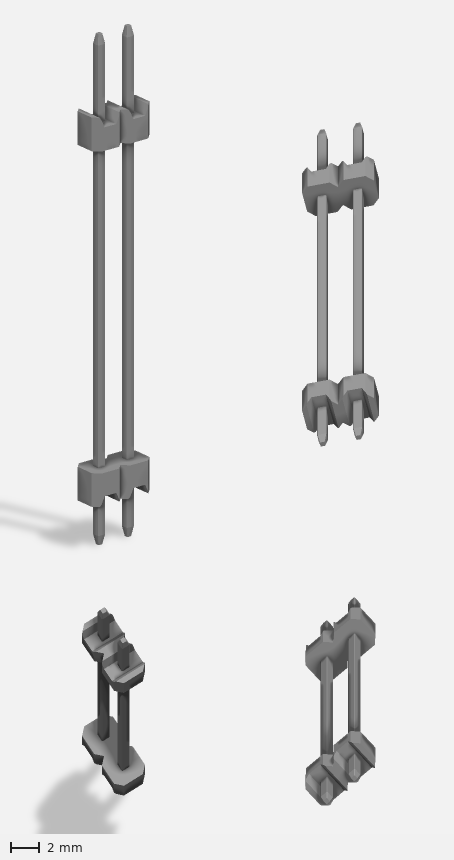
import cadquery as cq

PIN_LENGTH = 37.8
PIN_WIDTH = 0.65
PIN_EDGE_CHAMFER = 0.055
PIN_TIP_WIDTH = 0.35
PIN_TAPER_LENGTH = 0.75

PITCH = 2.55
PIN_COUNT = 2
BLOCK_HEIGHT = 2.5
BLOCK_CHAMFER = 0.5
GROOVE_DEPTH = 0.75
GROOVE_OPENING = 1.75
GROOVE_FLOOR = 1.02

BOTTOM_TAIL = 3.3
TOP_TAIL = 5.7

LOWER_BLOCK_BASE = BOTTOM_TAIL
UPPER_BLOCK_TOP = PIN_LENGTH - TOP_TAIL
PIN_POSITIONS = [(index - (PIN_COUNT - 1) / 2) * PITCH for index in range(PIN_COUNT)]


def chamfered_square(width, chamfer):
    """Corner points of a centred square with its four corners cut off."""
    half_width = width / 2
    half_flat = half_width - chamfer
    return [
        (half_width, half_flat),
        (half_flat, half_width),
        (-half_flat, half_width),
        (-half_width, half_flat),
        (-half_width, -half_flat),
        (-half_flat, -half_width),
        (half_flat, -half_width),
        (half_width, -half_flat),
    ]


def make_chamfered_bar(width, chamfer, length):
    """Straight bar along Z with a chamfered square section, standing on Z = 0."""
    return cq.Workplane("XY").polyline(chamfered_square(width, chamfer)).close().extrude(length)


def make_pin_taper():
    """Taper standing on Z = 0 that shrinks the chamfered pin section to the tip width."""
    section = chamfered_square(PIN_WIDTH, PIN_EDGE_CHAMFER)
    shrink = PIN_TIP_WIDTH / PIN_WIDTH
    tip_section = [(x * shrink, y * shrink) for x, y in section]
    return (
        cq.Workplane("XY")
        .polyline(section)
        .close()
        .workplane(offset=PIN_TAPER_LENGTH)
        .polyline(tip_section)
        .close()
        .loft(ruled=True)
    )


def make_pin(y):
    """Pin standing on Z = 0 with a taper at each end."""
    shaft_length = PIN_LENGTH - 2 * PIN_TAPER_LENGTH
    shaft = make_chamfered_bar(PIN_WIDTH, PIN_EDGE_CHAMFER, shaft_length).translate((0, 0, PIN_TAPER_LENGTH))
    upper_taper = make_pin_taper().translate((0, 0, PIN_LENGTH - PIN_TAPER_LENGTH))
    lower_taper = upper_taper.mirror("XY", basePointVector=(0, 0, PIN_LENGTH / 2))
    return shaft.union(upper_taper).union(lower_taper).translate((0, y, 0))


def make_grooved_block():
    """Octagonal block on Z = 0 with a trapezoid groove along X in its top and a pin hole."""
    body = make_chamfered_bar(PITCH, BLOCK_CHAMFER, BLOCK_HEIGHT)
    groove_floor_z = BLOCK_HEIGHT - GROOVE_DEPTH
    groove = (
        cq.Workplane("YZ")
        .polyline([
            (-GROOVE_FLOOR / 2, groove_floor_z),
            (GROOVE_FLOOR / 2, groove_floor_z),
            (GROOVE_OPENING / 2, BLOCK_HEIGHT),
            (-GROOVE_OPENING / 2, BLOCK_HEIGHT),
        ])
        .close()
        .extrude(PITCH / 2, both=True)
    )
    pin_hole = make_chamfered_bar(PIN_WIDTH, PIN_EDGE_CHAMFER, BLOCK_HEIGHT)
    return body.cut(groove).cut(pin_hole)


def make_upper_block(y):
    """Block of the upper level, groove facing up."""
    return make_grooved_block().translate((0, y, UPPER_BLOCK_TOP - BLOCK_HEIGHT))


def make_lower_block(y):
    """Block of the lower level, turned over so that its groove faces down."""
    turned_over = make_grooved_block().rotate((0, 0, 0), (1, 0, 0), 180)
    return turned_over.translate((0, y, LOWER_BLOCK_BASE + BLOCK_HEIGHT))


pins = [make_pin(y).val() for y in PIN_POSITIONS]
upper_blocks = [make_upper_block(y).val() for y in PIN_POSITIONS]
lower_blocks = [make_lower_block(y).val() for y in PIN_POSITIONS]

result = cq.Compound.makeCompound([*pins, *upper_blocks, *lower_blocks])